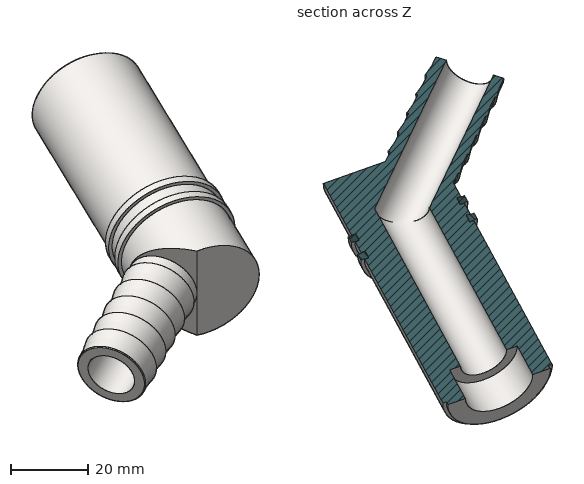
import cadquery as cq
import math

barrel_radius = 15.5
barrel_length = 78.0
nose_radius = 14.5
nose_length = 1.0
socket_radius = 9.5
socket_depth = 10.0
bore_radius = 6.5

bend_x = 62.5
bend_angle = 45.0

tail_radius = 9.5
barb_radius = 10.0
barb_count = 5
tail_length = 36.0
land_length = tail_length / (2 * barb_count + 1)
tip_chamfer = 0.25

ring_outer_radius = 16.5
ring_section = 2.1
ring_inner_radius = ring_outer_radius - ring_section
ring_starts = (51.5, 57.6)

bend = math.radians(bend_angle)
flat_width = 2 * tail_radius
flat_side_x = barrel_length - flat_width * math.sin(bend)
flat_distance = (flat_side_x - bend_x) * math.cos(bend) + barrel_radius * math.sin(bend)
tail_end = flat_distance + tail_length

tail_plane = cq.Plane(
    origin=(bend_x, 0, 0),
    xDir=(math.cos(bend), -math.sin(bend), 0),
    normal=(0, 0, 1),
)


def cylinder_x(radius, start, length):
    return cq.Workplane("YZ", origin=(start, 0, 0)).circle(radius).extrude(length)


def make_barrel():
    nose = cylinder_x(nose_radius, 0, nose_length)
    body = cylinder_x(barrel_radius, nose_length, barrel_length - nose_length)
    cut_size = 4 * barrel_radius
    corner = (
        cq.Workplane(tail_plane)
        .center(flat_distance, 0)
        .box(cut_size, cut_size, cut_size, centered=(False, True, True))
    )
    return nose.union(body).cut(corner)


def make_tail():
    """Solid of revolution from the bend out to the tail tip."""
    profile = cq.Workplane(tail_plane).lineTo(0, tail_radius)
    for i in range(barb_count):
        barb_start = flat_distance + (2 * i + 1) * land_length
        profile = (
            profile.lineTo(barb_start, tail_radius)
            .lineTo(barb_start, barb_radius)
            .lineTo(barb_start + land_length, tail_radius)
        )
    return (
        profile.lineTo(tail_end - tip_chamfer, tail_radius)
        .lineTo(tail_end, tail_radius - tip_chamfer)
        .lineTo(tail_end, 0)
        .close()
        .revolve(360, (0, 0, 0), (1, 0, 0))
    )


def make_bore():
    """Mitred passage along the barrel axis and out through the tail."""
    outlet = tail_plane.toWorldCoords((tail_end, 0, 0))
    path = cq.Workplane("XY").lineTo(bend_x, 0).lineTo(outlet.x, outlet.y)
    return cq.Workplane("YZ").circle(bore_radius).sweep(path, transition="right")


def make_ring(start):
    disc = cylinder_x(ring_outer_radius, start, ring_section)
    return disc.cut(cylinder_x(ring_inner_radius, start, ring_section))


rings = [make_ring(start) for start in ring_starts]

housing = make_barrel().union(make_tail())
housing = housing.cut(make_bore()).cut(cylinder_x(socket_radius, 0, socket_depth))
for ring in rings:
    housing = housing.cut(ring)

result = cq.Compound.makeCompound([housing.val(), *[ring.val() for ring in rings]])